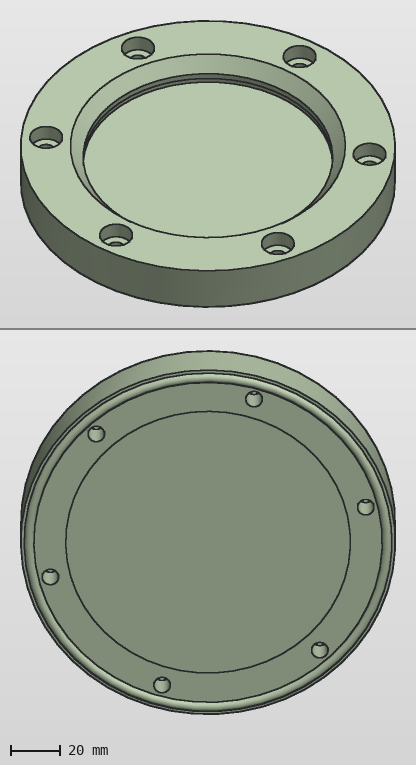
import cadquery as cq

full_turn = 360.0

outer_radius = 75.0
housing_height = 19.5
lip_radius = 50.0
cone_depth = 6.0
cone_widening = 5.1
cone_top_radius = lip_radius + cone_widening
lip_height = 2.5

bolt_count = 6
first_bolt_angle = 90.0
bolt_circle_radius = 65.0
bolt_hole_diameter = 6.6
counterbore_diameter = 13.0
counterbore_depth = 6.8

seal_section_radius = 2.0
seal_outer_radius = 73.6
seal_centre_radius = seal_outer_radius - seal_section_radius

window_radius = 57.0
rim_height = 2.0

housing_bottom = seal_section_radius
housing_top = housing_bottom + housing_height
lip_top = housing_top - cone_depth
window_top = lip_top - lip_height


def disc(radius, bottom, top):
    """Upright cylinder on the Z axis between two levels."""
    return cq.Workplane("XY").workplane(offset=bottom).circle(radius).extrude(top - bottom)


def make_seal():
    """Torus around the Z axis."""
    return (
        cq.Workplane("XZ")
        .center(seal_centre_radius, housing_bottom)
        .circle(seal_section_radius)
        .revolve(full_turn, (-seal_centre_radius, 0), (-seal_centre_radius, 1))
    )


def make_window():
    """Window disc with a shallow recess as wide as the lip opening."""
    blank = disc(window_radius, housing_bottom, window_top)
    return blank.cut(disc(lip_radius, window_top - rim_height, window_top))


def make_housing():
    """Flange ring with a conical mouth, a window seat, a seal groove and bolt holes."""
    body = disc(outer_radius, housing_bottom, housing_top)
    body = body.cut(disc(lip_radius, housing_bottom, housing_top))
    body = body.cut(disc(window_radius, housing_bottom, window_top))

    cone = (
        cq.Workplane("XZ")
        .moveTo(0, lip_top)
        .lineTo(lip_radius, lip_top)
        .lineTo(cone_top_radius, housing_top)
        .lineTo(0, housing_top)
        .close()
        .revolve(full_turn, (0, 0), (0, 1))
    )
    body = body.cut(cone).cut(make_seal())

    return (
        body.faces(">Z")
        .workplane(origin=(0, 0, housing_top))
        .polarArray(bolt_circle_radius, first_bolt_angle, full_turn, bolt_count)
        .cboreHole(bolt_hole_diameter, counterbore_diameter, counterbore_depth)
    )


housing = make_housing()
seal = make_seal()
window = make_window()

result = cq.Compound.makeCompound([housing.val(), seal.val(), window.val()])